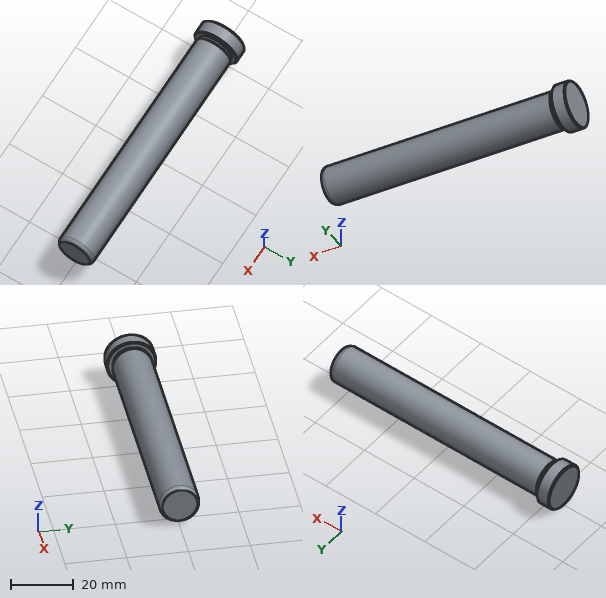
import cadquery as cq

total_length = 90.0
head_diameter = 16.0
head_thickness = 5.0
head_chamfer = 0.4
shank_diameter = 13.0

neck_diameter = 12.3
neck_length = 1.0
neck_taper_length = 0.4

tip_length = 1.5
tip_diameter = 11.3

head_start = 0
neck_start = head_start + head_thickness
neck_end = neck_start + neck_length
shank_start = neck_end + neck_taper_length
tip_start = total_length - tip_length


def cylinder_along_x(diameter, start, end):
    return cq.Workplane("YZ", origin=(start, 0, 0)).circle(diameter / 2).extrude(end - start)


def make_head():
    head = cylinder_along_x(head_diameter, head_start, neck_start)
    return head.edges("%CIRCLE").chamfer(head_chamfer)


def make_shank():
    """Revolve the neck, its taper, the straight shank and the rounded tip."""
    neck_radius = neck_diameter / 2
    shank_radius = shank_diameter / 2
    tip_radius = tip_diameter / 2
    embed_start = head_thickness / 2
    half_profile = (
        cq.Workplane("XY")
        .moveTo(embed_start, 0)
        .lineTo(embed_start, neck_radius)
        .lineTo(neck_end, neck_radius)
        .lineTo(shank_start, shank_radius)
        .lineTo(tip_start, shank_radius)
        .tangentArcPoint((total_length, tip_radius), relative=False)
        .lineTo(total_length, 0)
        .close()
    )
    return half_profile.revolve(360, (0, 0, 0), (1, 0, 0))


result = make_head().union(make_shank())